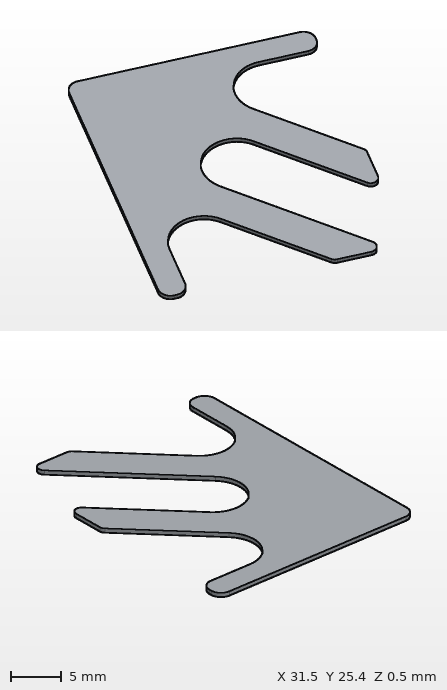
import cadquery as cq
import math

plate_length = 31.496
plate_width = 25.4
plate_thickness = 0.5
slot_radius = 3.556
slot_inset = 6.35
outer_corner_radius = 1.27
rib_tip_radius = 0.762

upper_slot = (slot_inset, plate_width - slot_inset)
middle_slot = (plate_length / 2, plate_width / 2)
lower_slot = (plate_length - slot_inset, slot_inset)

cutter_reach = 2 * plate_length

along_x = 0
along_ribs = 45
along_y = 90


def offset_point(origin, distance, angle):
    """Point at a distance from origin, in the direction given in degrees."""
    direction = math.radians(angle)
    return (
        origin[0] + distance * math.cos(direction),
        origin[1] + distance * math.sin(direction),
    )


def slot_cutter(center, right_wall_angle, left_wall_angle):
    """Round-bottomed slot whose two walls are tangent to its floor."""
    right_start = offset_point(center, slot_radius, right_wall_angle - 90)
    left_start = offset_point(center, slot_radius, left_wall_angle + 90)
    middle_angle = (right_wall_angle + left_wall_angle) / 2
    floor = offset_point(center, slot_radius, middle_angle + 180)
    return (
        cq.Workplane("XY")
        .moveTo(*right_start)
        .lineTo(*offset_point(right_start, cutter_reach, right_wall_angle))
        .lineTo(*offset_point(left_start, cutter_reach, left_wall_angle))
        .lineTo(*left_start)
        .threePointArc(floor, right_start)
        .close()
        .extrude(plate_thickness)
    )


def round_corners(body, corners, radius):
    """Fillet the upright edges that stand at the given XY corners."""
    for x, y in corners:
        edge_middle = (x, y, plate_thickness / 2)
        body = body.edges(cq.selectors.NearestToPointSelector(edge_middle)).fillet(radius)
    return body


wall_shift = slot_radius * math.sqrt(2)


def rib_corner_on_top(center, shift):
    """Where a rib wall, shifted along X from a slot centre, meets the +Y side."""
    return (center[0] + plate_width - center[1] + shift, plate_width)


def rib_corner_on_right(center, shift):
    """Where a rib wall, shifted along Y from a slot centre, meets the +X side."""
    return (plate_length, center[1] + plate_length - center[0] + shift)


plate = cq.Workplane("XY").box(plate_length, plate_width, plate_thickness, centered=False)
plate = plate.cut(slot_cutter(upper_slot, along_ribs, along_y))
plate = plate.cut(slot_cutter(middle_slot, along_ribs, along_ribs))
plate = plate.cut(slot_cutter(lower_slot, along_x, along_ribs))

arm_width = slot_inset - slot_radius
outer_corners = [
    (0, 0),
    (0, plate_width),
    (arm_width, plate_width),
    (plate_length, 0),
    (plate_length, arm_width),
]
plate = round_corners(plate, outer_corners, outer_corner_radius)

rib_corners = [
    rib_corner_on_top(upper_slot, wall_shift),
    rib_corner_on_top(middle_slot, -wall_shift),
    rib_corner_on_right(middle_slot, -wall_shift),
    rib_corner_on_right(lower_slot, wall_shift),
]
result = round_corners(plate, rib_corners, rib_tip_radius)